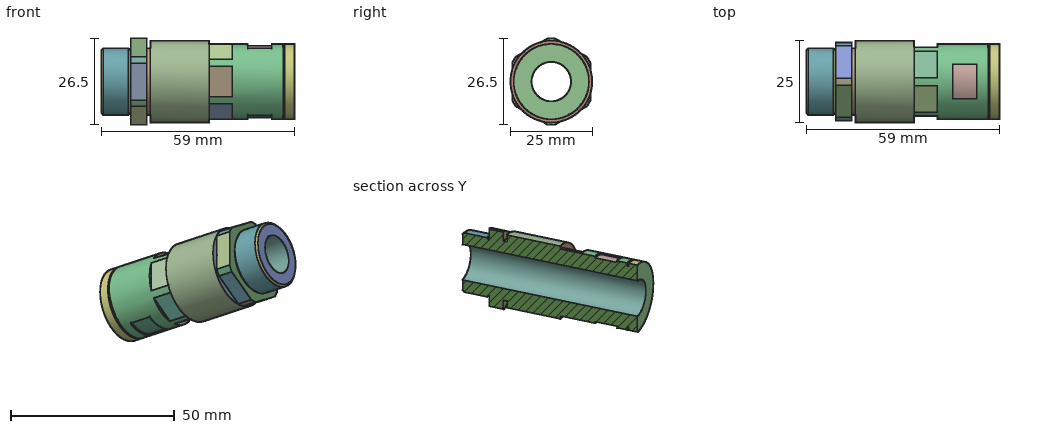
import cadquery as cq

TOTAL_LENGTH = 59.0
BORE_DIAMETER = 12.0

THREAD_DIAMETER = 20.4
THREAD_CHAMFER = 0.65

NUT_START = 8.95
NUT_LENGTH = 4.95
NUT_ACROSS_FLATS = 23.95
NUT_CORNER_DIAMETER = 26.5

SLEEVE_DIAMETER = 25.0
SLEEVE_START = 15.0
SLEEVE_END = 33.0

BODY_DIAMETER = 23.0
BODY_HEX_ACROSS_FLATS = 21.0
BODY_HEX_END = 40.05

GROOVE_DIAMETER = 21.0
GROOVE_START = 55.5
GROOVE_WIDTH = 0.5

RECESS_START = 44.7
RECESS_LENGTH = 7.3
RECESS_WIDTH = 10.5
RECESS_FLOOR_DIAMETER = 21.95


def cylinder(diameter, start, end):
    return cq.Workplane("YZ", origin=(start, 0, 0)).circle(diameter / 2).extrude(end - start)


def rounded_hexagon(across_flats, corner_diameter, start, end):
    """Hexagon with flats facing +Y and -Y, its corners trimmed to a cylinder."""
    hexagon = (
        cq.Workplane("YZ", origin=(start, 0, 0))
        .polygon(6, across_flats, circumscribed=True)
        .extrude(end - start)
    )
    return hexagon.intersect(cylinder(corner_diameter, start, end))


def recesses():
    """Ring segments above and below the axis, with straight sides parallel to the XZ plane."""
    end = RECESS_START + RECESS_LENGTH
    block = cq.Workplane("XY").box(RECESS_LENGTH, RECESS_WIDTH, BODY_DIAMETER)
    block = block.translate((RECESS_START + RECESS_LENGTH / 2, 0, 0))
    return block.cut(cylinder(RECESS_FLOOR_DIAMETER, RECESS_START, end))


thread = cylinder(THREAD_DIAMETER, 0, NUT_START).faces("<X or >X").chamfer(THREAD_CHAMFER)

nut_end = NUT_START + NUT_LENGTH
nut = rounded_hexagon(NUT_ACROSS_FLATS, NUT_CORNER_DIAMETER, NUT_START, nut_end)
neck = cylinder(THREAD_DIAMETER, nut_end, SLEEVE_START)
sleeve = cylinder(SLEEVE_DIAMETER, SLEEVE_START, SLEEVE_END)

body_hex = rounded_hexagon(BODY_HEX_ACROSS_FLATS, BODY_DIAMETER, SLEEVE_END, BODY_HEX_END)
groove_end = GROOVE_START + GROOVE_WIDTH
body = cylinder(BODY_DIAMETER, BODY_HEX_END, GROOVE_START).cut(recesses())
groove_floor = cylinder(GROOVE_DIAMETER, GROOVE_START, groove_end)
end_ring = cylinder(BODY_DIAMETER, groove_end, TOTAL_LENGTH)

result = thread
for section in (nut, neck, sleeve, body_hex, body, groove_floor, end_ring):
    result = result.union(section)
result = result.cut(cylinder(BORE_DIAMETER, 0, TOTAL_LENGTH))